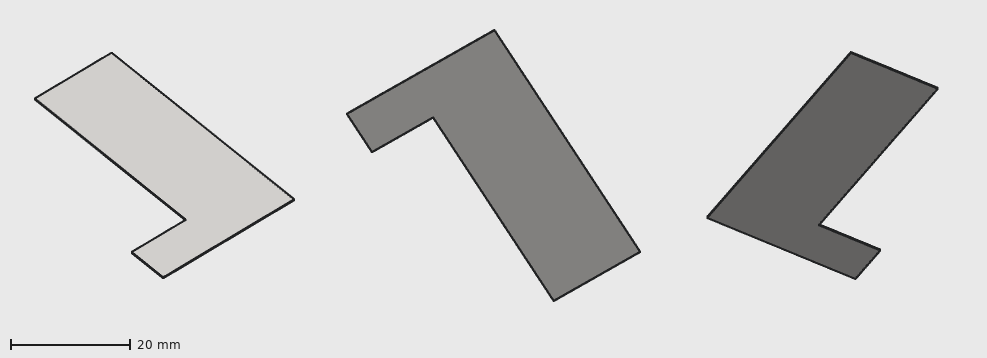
import cadquery as cq

length = 46.9
width = 29.0
thickness = 0.28

body_width = 17.0
leg_width = 8.1


def make_plate():
    """L-shaped sheet with its bounding box centred on the Z axis and its underside at Z = 0."""
    left = -length / 2
    right = length / 2
    front = -width / 2
    back = width / 2
    body_front = back - body_width
    leg_left = right - leg_width

    outline = [
        (left, back),
        (right, back),
        (right, front),
        (leg_left, front),
        (leg_left, body_front),
        (left, body_front),
    ]
    return cq.Workplane("XY").polyline(outline).close().extrude(thickness)


result = make_plate()